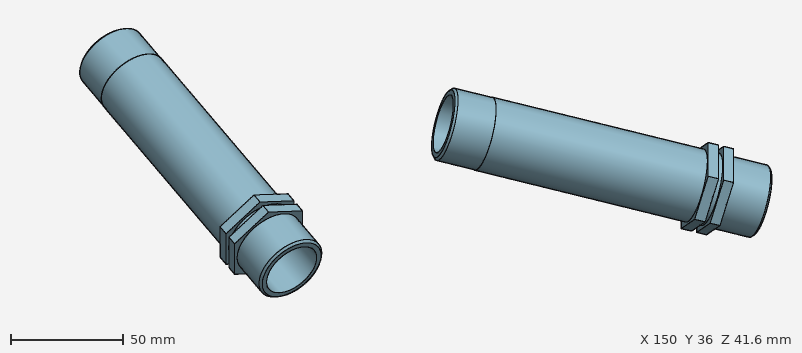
import cadquery as cq

length = 150.0
bore_diameter = 26.5
body_diameter = 33.6
end_diameter = 33.3
end_length = 19.0
end_chamfer = 1.0

hex_across_flats = 36.0
first_hex_thickness = 5.0
second_hex_thickness = 4.6
hex_gap = 2.4
second_hex_start = length - end_length - second_hex_thickness
first_hex_start = second_hex_start - hex_gap - first_hex_thickness


def cylinder_along_x(start, end, diameter):
    return cq.Workplane("YZ").workplane(offset=start).circle(diameter / 2).extrude(end - start)


def hex_collar(start, thickness):
    """Hexagonal collar with corners at the top and bottom and flats facing +Y and -Y."""
    return (
        cq.Workplane("YZ")
        .workplane(offset=start)
        .polygon(6, hex_across_flats, circumscribed=True)
        .extrude(thickness)
    )


core = cylinder_along_x(0, length, end_diameter).faces("<X or >X").chamfer(end_chamfer)

body = cylinder_along_x(end_length, first_hex_start, body_diameter)

result = core.union(body)
result = result.union(hex_collar(first_hex_start, first_hex_thickness))
result = result.union(hex_collar(second_hex_start, second_hex_thickness))

result = result.cut(cylinder_along_x(0, length, bore_diameter))